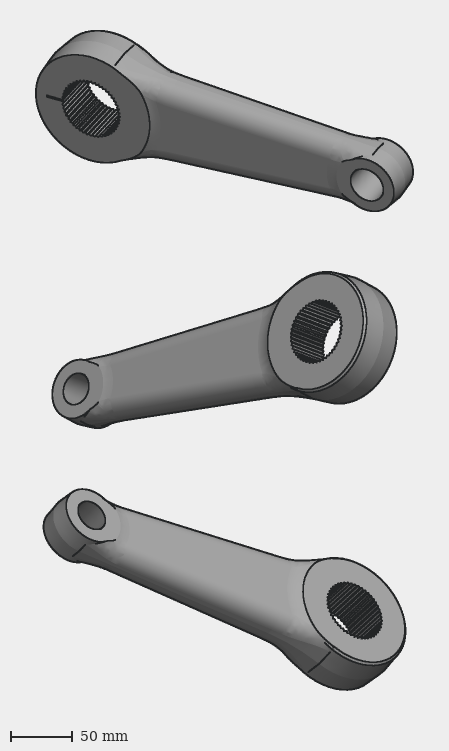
import cadquery as cq
import math

overall_length = 327.8
ring_diameter = 104.0
eye_diameter = 52.0
draft = 5.0

ring_half_width = 20.0
ring_bevel = 2.0
eye_half_width = 17.0

spline_teeth = 48
spline_tip_radius = 25.0
spline_root_radius = 26.2

eye_bore_front_diameter = 29.8
eye_bore_back_diameter = 26.2

arm_slope = 3.3
arm_edge_radius = 14.0
arm_width_at_ring = 38.0
arm_width_at_eye = 31.0
arm_overrun = 1.3
outline_fillet = 147.5

ring_blend_radius = 62.5
ring_blend_curve = 24.5
eye_blend_radius = 37.0
eye_blend_curve = 39.5
blend_height = 19.7

mark_width = 1.0
mark_depth = 1.0
mark_end_radius = 40.3

ring_radius = ring_diameter / 2
eye_radius = eye_diameter / 2
axis_distance = overall_length - ring_radius - eye_radius
ring_back_half_width = ring_half_width + ring_bevel
arm_half_width_at_ring = arm_width_at_ring / 2
arm_half_width_at_eye = arm_width_at_eye / 2
draft_run = math.tan(math.radians(draft))


slope = math.radians(arm_slope)
normal = (math.sin(slope), math.cos(slope))
along = (math.cos(slope), -math.sin(slope))
edge_distance = axis_distance * normal[0] + eye_radius
centre_off = edge_distance + outline_fillet
centre_run = math.sqrt((ring_radius + outline_fillet) ** 2 - centre_off ** 2)
fillet_centre = tuple(n * centre_off + u * centre_run for n, u in zip(normal, along))

ring_tangent = tuple(c * ring_radius / (ring_radius + outline_fillet) for c in fillet_centre)
arm_tangent = tuple(c - n * outline_fillet for c, n in zip(fillet_centre, normal))
eye_tangent = (axis_distance + eye_radius * normal[0], eye_radius * normal[1])

to_fillet_middle = tuple((a + b) / 2 - c for a, b, c in zip(ring_tangent, arm_tangent, fillet_centre))
middle_scale = outline_fillet / math.hypot(*to_fillet_middle)
fillet_middle = tuple(c + m * middle_scale for c, m in zip(fillet_centre, to_fillet_middle))


def below(point):
    """Mirror an outline point across the X axis."""
    return (point[0], -point[1])


def drafted_arm(depth):
    """Arm outline, wrapped round both ends, drafted from the mid-plane toward -Y."""
    return (
        cq.Workplane("XZ")
        .moveTo(*ring_tangent)
        .threePointArc(fillet_middle, arm_tangent)
        .lineTo(*eye_tangent)
        .threePointArc((axis_distance + eye_radius, 0), below(eye_tangent))
        .lineTo(*below(arm_tangent))
        .threePointArc(below(fillet_middle), below(ring_tangent))
        .threePointArc((-ring_radius, 0), ring_tangent)
        .close()
        .extrude(depth, taper=draft)
    )


def flared_hub(plane, x, flat_radius, curve):
    """Solid of revolution that rises from the arm flat by a concave arc."""
    rise_angle = math.acos(1 - blend_height / curve)
    top_radius = flat_radius - curve * math.sin(rise_angle)
    mid_radius = flat_radius - curve * math.sin(rise_angle / 2)
    mid_height = curve * (1 - math.cos(rise_angle / 2))
    return (
        cq.Workplane(plane)
        .moveTo(x, 0)
        .lineTo(x + flat_radius, 0)
        .threePointArc((x + mid_radius, mid_height), (x + top_radius, blend_height))
        .lineTo(x, blend_height)
        .close()
        .revolve(360, (x, 0, 0), (x, 1, 0))
    )


def arm_half():
    """Half of the arm on the -Y side, with its flat, both blends and rounded edges."""
    flat_fall = arm_half_width_at_ring - arm_half_width_at_eye
    flat_length = math.hypot(axis_distance, flat_fall)
    flat_plane = cq.Plane(
        origin=(0, -arm_half_width_at_ring, 0),
        xDir=(axis_distance, flat_fall, 0),
        normal=(0, 0, -1),
    )
    above_flat = (
        cq.Workplane(flat_plane)
        .moveTo(flat_length / 2, blend_height)
        .rect(2 * overall_length, 2 * blend_height)
        .extrude(overall_length, both=True)
        .cut(flared_hub(flat_plane, 0, ring_blend_radius, ring_blend_curve))
        .cut(flared_hub(flat_plane, flat_length, eye_blend_radius, eye_blend_curve))
    )
    span = (
        cq.Workplane("YZ", origin=(ring_tangent[0], 0, 0))
        .rect(overall_length, overall_length)
        .extrude(axis_distance + arm_overrun - ring_tangent[0])
    )
    depth = arm_half_width_at_ring + blend_height
    half = drafted_arm(depth).cut(above_flat).intersect(span)

    clearance = 3.3

    def is_long_edge(edge):
        """True for edges between the drafted sides and the flat or its blends."""
        box = edge.BoundingBox()
        off_mid_plane = box.ymin < -clearance
        off_centre_line = abs(box.center.z) > clearance
        return box.xlen > clearance and off_mid_plane and off_centre_line

    long_edges = [edge for edge in half.edges().vals() if is_long_edge(edge)]
    return half.newObject(long_edges).fillet(arm_edge_radius)


def trimmed_arm():
    """Both arm halves joined, cut flush with the end faces of the ring and the eye."""
    front = arm_half()
    arm = front.union(front.mirror("XZ"))
    slab_split = axis_distance - eye_blend_radius
    ring_slab = (
        cq.Workplane("XZ", origin=(0, -ring_half_width, 0))
        .rect(2 * slab_split, 2 * ring_radius)
        .extrude(-(ring_half_width + ring_back_half_width))
    )
    eye_slab = (
        cq.Workplane("XZ", origin=(axis_distance, 0, 0))
        .rect(2 * eye_blend_radius, 2 * ring_radius)
        .extrude(eye_half_width, both=True)
    )
    return arm.intersect(ring_slab.union(eye_slab))


def drafted_ring():
    """Big end: rim widest at the mid-plane, with a bevel behind its back edge."""
    rim_radius = ring_radius - ring_half_width * draft_run
    return (
        cq.Workplane("XY")
        .moveTo(0, -ring_half_width)
        .lineTo(rim_radius, -ring_half_width)
        .lineTo(ring_radius, 0)
        .lineTo(rim_radius, ring_half_width)
        .lineTo(rim_radius - ring_bevel, ring_back_half_width)
        .lineTo(0, ring_back_half_width)
        .close()
        .revolve(360, (0, 0, 0), (0, 1, 0))
    )


def drafted_eye():
    """Small end: rim widest at the mid-plane between two flat faces."""
    rim_x = axis_distance + eye_radius - eye_half_width * draft_run
    return (
        cq.Workplane("XY")
        .moveTo(axis_distance, -eye_half_width)
        .lineTo(rim_x, -eye_half_width)
        .lineTo(axis_distance + eye_radius, 0)
        .lineTo(rim_x, eye_half_width)
        .lineTo(axis_distance, eye_half_width)
        .close()
        .revolve(360, (axis_distance, 0, 0), (axis_distance, 1, 0))
    )


def serrated_bore():
    """Cutter for the ring bore: V-shaped grooves, one of them on the X axis."""
    points = []
    for step in range(2 * spline_teeth):
        radius = spline_root_radius if step % 2 == 0 else spline_tip_radius
        angle = math.pi * step / spline_teeth
        points.append((radius * math.cos(angle), radius * math.sin(angle)))
    return cq.Workplane("XZ").polyline(points).close().extrude(overall_length / 2, both=True)


def tapered_bore():
    """Cutter for the eye bore, wide at the front face and narrow at the back face."""
    return (
        cq.Workplane("XZ", origin=(axis_distance, -eye_half_width, 0))
        .circle(eye_bore_front_diameter / 2)
        .workplane(offset=-2 * eye_half_width)
        .circle(eye_bore_back_diameter / 2)
        .loft()
    )


def alignment_mark():
    """Cutter for the shallow line on the front face, from the bore outward along -X."""
    return (
        cq.Workplane("XY")
        .box(mark_end_radius - spline_tip_radius, mark_depth, mark_width)
        .translate((
            -(mark_end_radius + spline_tip_radius) / 2,
            mark_depth / 2 - ring_half_width,
            0,
        ))
    )


result = (
    trimmed_arm()
    .union(drafted_ring())
    .union(drafted_eye())
    .cut(serrated_bore())
    .cut(tapered_bore())
    .cut(alignment_mark())
)